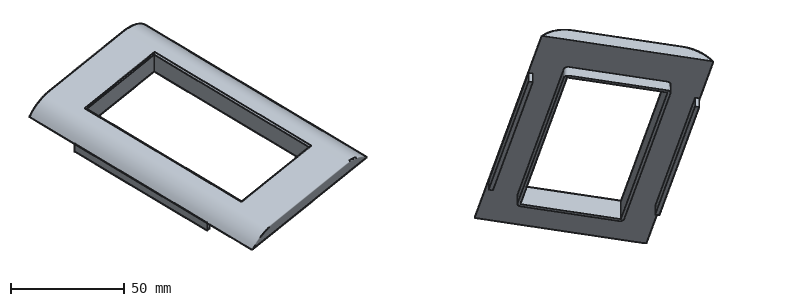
import cadquery as cq

length = 130.0
width = 78.0
height = 11.0
skirt_depth = 5.0
plate_height = height - skirt_depth
flat_width = 50.7
end_round = 0.5

window_length = 90.2
window_width = 45.5
bevel_along_length = 0.5
bevel_along_width = 0.9
bevel_depth = 0.6
collar_length = 93.3
collar_width = 48.4
collar_corner_radius = 2.0

lip_length = 77.2
lip_thickness = 2.0
lip_inset = 0.3


def make_plate():
    """Extrude the cross-section whose long sides are arcs tangent to the flat top."""
    half_width = width / 2
    half_flat = flat_width / 2
    profile = (
        cq.Workplane("YZ")
        .moveTo(-half_width, skirt_depth)
        .lineTo(half_width, skirt_depth)
    )
    run = half_width - half_flat
    radius = (run**2 + plate_height**2) / (2 * plate_height)
    profile = (
        profile.radiusArc((half_flat, height), -radius)
        .lineTo(-half_flat, height)
        .radiusArc((-half_width, skirt_depth), -radius)
        .close()
    )
    plate = profile.extrude(length / 2, both=True)
    return plate.faces("<X or >X").edges("not <Z").fillet(end_round)


def make_collar():
    return (
        cq.Workplane("XY")
        .rect(collar_length, collar_width)
        .extrude(skirt_depth)
        .edges("|Z")
        .fillet(collar_corner_radius)
    )


def make_lip(side):
    """Make the lip under one long edge; side is -1 or 1."""
    centre_y = side * (width / 2 - lip_inset - lip_thickness / 2)
    return (
        cq.Workplane("XY")
        .center(0, centre_y)
        .rect(lip_length, lip_thickness)
        .extrude(skirt_depth)
    )


def make_window():
    """Make the straight opening and the bevel widening it at the top."""
    opening = cq.Workplane("XY").rect(window_length, window_width).extrude(height)
    bevel = (
        cq.Workplane("XY", origin=(0, 0, height - bevel_depth))
        .rect(window_length, window_width)
        .workplane(offset=bevel_depth)
        .rect(window_length + 2 * bevel_along_length, window_width + 2 * bevel_along_width)
        .loft(ruled=True)
    )
    return opening.union(bevel)


result = make_plate().union(make_collar())
for side in (-1, 1):
    result = result.union(make_lip(side))
result = result.cut(make_window())